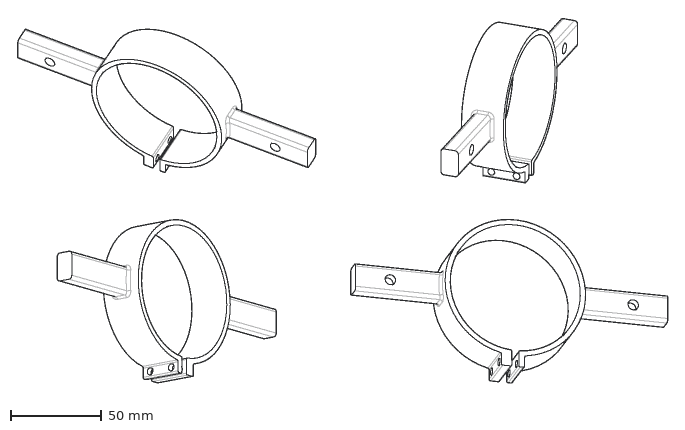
import cadquery as cq

overall_length = 180.0
ring_width = 25.0
outer_radius = 40.5
wall = 3.0
inner_radius = outer_radius - wall

half_gap = 2.0
left_ear_thickness = 6.1
right_ear_thickness = 3.5
ear_bottom = -47.0
ear_edge_radius = 0.9
ear_root_radius = 0.9
ear_hole_diameter = 4.0
ear_hole_offset = 7.5
ear_hole_z = -43.4

arm_height = 16.0
arm_depth = 10.5
arm_edge_radius = 2.0
arm_root_radius = 1.6
arm_hole_diameter = 6.0
arm_hole_x = 70.0
arm_hole_depth = arm_depth / 2


def block(x_start, x_end, depth, z_start, z_end):
    """Make a box centred on Y between the given X and Z limits."""
    return cq.Workplane("XY").box(
        x_end - x_start, depth, z_end - z_start
    ).translate(((x_start + x_end) / 2, 0, (z_start + z_end) / 2))


def ring_disc(radius):
    """Make a solid disc as wide as the ring."""
    return cq.Workplane("XZ").circle(radius).extrude(ring_width / 2, both=True)


def edges_along_y(x, z):
    """Select the width-wise edge at the given X and Z."""
    margin = 0.09
    return cq.selectors.BoxSelector(
        (x - margin, -ring_width, z - margin), (x + margin, ring_width, z + margin)
    )


def height_on_circle(radius, x):
    """Return the Z of the lower half of a circle at the given X."""
    return -((radius**2 - x**2) ** 0.5)


def make_clamp():
    """Make the split ring with its two rounded ears."""
    left_outer = -half_gap - left_ear_thickness
    right_outer = half_gap + right_ear_thickness
    bore = ring_disc(inner_radius)
    ears = block(left_outer, right_outer, ring_width, ear_bottom, -inner_radius + wall / 2)
    gap = block(-half_gap, half_gap, ring_width, ear_bottom, 0)
    clamp = ring_disc(outer_radius).union(ears).cut(bore).cut(gap)

    for outer_x in (left_outer, right_outer):
        root = edges_along_y(outer_x, height_on_circle(outer_radius, outer_x))
        clamp = clamp.edges(root).fillet(ear_root_radius)
    for gap_x in (-half_gap, half_gap):
        inner_corner = edges_along_y(gap_x, height_on_circle(inner_radius, gap_x))
        clamp = clamp.edges(inner_corner).fillet(ear_edge_radius)
    for bottom_x in (left_outer, -half_gap, half_gap, right_outer):
        clamp = clamp.edges(edges_along_y(bottom_x, ear_bottom)).fillet(ear_edge_radius)
    return clamp


def add_arms(body):
    """Add both rounded arms and blend them into the outside of the ring."""
    arms = block(
        -overall_length / 2, overall_length / 2, arm_depth, -arm_height / 2, arm_height / 2
    ).edges("|X").fillet(arm_edge_radius)
    arms = arms.cut(ring_disc(inner_radius + wall / 2))
    body = body.union(arms)

    for side in (-1, 1):
        root_edges = cq.selectors.BoxSelector(
            (side * (outer_radius - wall / 2), -arm_depth, -arm_height),
            (side * (outer_radius + wall / 2), arm_depth, arm_height),
        )
        body = body.edges(root_edges).fillet(arm_root_radius)
    return body


def cut_ear_holes(body):
    """Drill the pair of screw holes through both ears."""
    drills = (
        cq.Workplane("YZ")
        .pushPoints([(-ear_hole_offset, ear_hole_z), (ear_hole_offset, ear_hole_z)])
        .circle(ear_hole_diameter / 2)
        .extrude(outer_radius, both=True)
    )
    return body.cut(drills)


def cut_arm_holes(body):
    """Sink a blind hole into the -Y face of each arm."""
    drills = (
        cq.Workplane("XZ", origin=(0, -arm_depth / 2, 0))
        .pushPoints([(-arm_hole_x, 0), (arm_hole_x, 0)])
        .circle(arm_hole_diameter / 2)
        .extrude(-arm_hole_depth)
    )
    return body.cut(drills)


result = cut_ear_holes(cut_arm_holes(add_arms(make_clamp())))